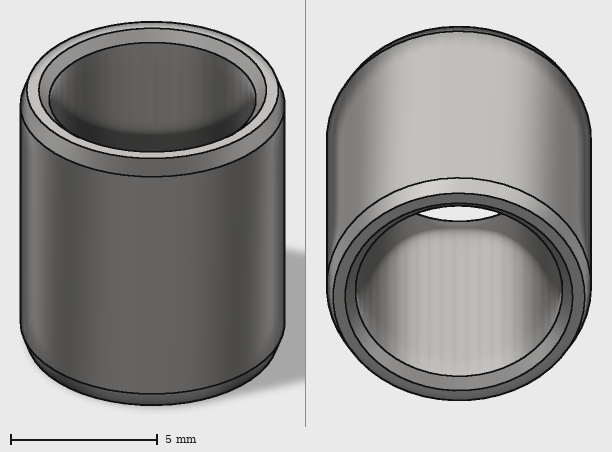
import cadquery as cq
import math

length = 10.0
outer_radius = 4.5
bore_radius = 3.52

outer_chamfer_height = 0.6
outer_chamfer_angle = 20.0
outer_chamfer_width = outer_chamfer_height * math.tan(math.radians(outer_chamfer_angle))
bore_chamfer = 0.35

end_outer_radius = outer_radius - outer_chamfer_width
end_bore_radius = bore_radius + bore_chamfer

wall_section = (
    cq.Workplane("XZ")
    .moveTo(end_bore_radius, 0)
    .lineTo(end_outer_radius, 0)
    .lineTo(outer_radius, outer_chamfer_height)
    .lineTo(outer_radius, length - outer_chamfer_height)
    .lineTo(end_outer_radius, length)
    .lineTo(end_bore_radius, length)
    .lineTo(bore_radius, length - bore_chamfer)
    .lineTo(bore_radius, bore_chamfer)
    .close()
)

result = wall_section.revolve(360, (0, 0, 0), (0, 1, 0))